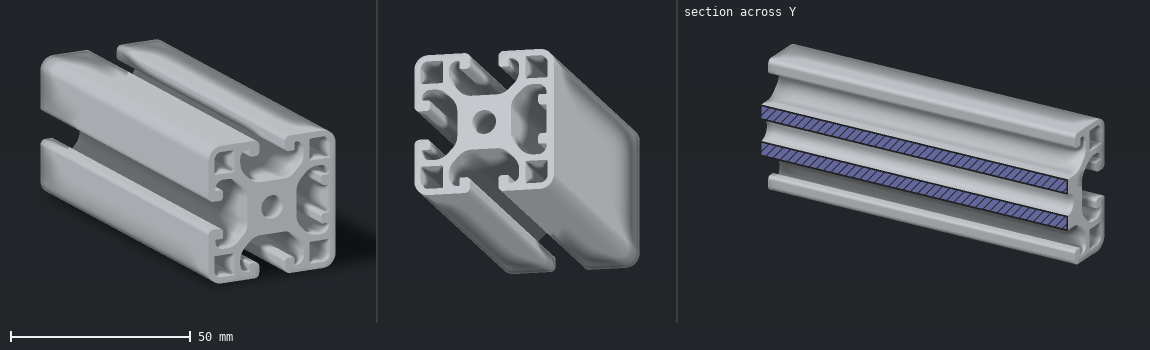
import cadquery as cq
import math

length = 100.0
side = 40.0
corner_radius = 4.0
bore_diameter = 6.8
small_radius = 0.4

chamber_wall = 1.8
chamber_size = 6.4
chamber_outer_radius = corner_radius - chamber_wall

mouth_width = 8.1
slot_width = 20.1
lip_width = 3.0
lip_depth = 4.5
hook_depth = 2.1
slot_depth = 12.3
hook_radius = 2.5
floor_radius = 5.0
lip_outer_radius = 1.5
lip_inner_radius = 1.0
web_thickness = 2.9

mouth_half_width = mouth_width / 2
slot_half_width = slot_width / 2
lip_half_width = mouth_half_width + lip_width
face = side / 2
lip_end = face - lip_depth
hook_top = face - hook_depth
slot_floor = face - slot_depth

all_slot_angles = (0, 90, 180, 270)
open_slot_angles = (0, 90, 180)


def prism(outline):
    """Extrude a closed outline of the YZ plane over the whole length."""
    return outline.extrude(length / 2, both=True)


def turned(body, angle):
    """Turn a body about the lengthwise axis; positive angles go from +Z towards -Y."""
    return body.rotate((0, 0, 0), (1, 0, 0), angle)


def with_mirror_half(half):
    """Complete a half body with its mirror image across the XZ plane."""
    return half.union(half.mirror("XZ"))


def round_edge(body, corner, radius):
    """Fillet the lengthwise edge that passes through a (y, z) corner."""
    edge = cq.selectors.NearestToPointSelector((0, *corner))
    return body.edges(edge).fillet(radius)


def slot_cutter():
    """Hollow behind the face wall of the slot that faces +Z."""
    web_offset = web_thickness / math.sqrt(2)
    floor_corner = (slot_floor - web_offset, slot_floor)
    side_corner = (slot_half_width, slot_half_width + web_offset)
    hook_outer = (slot_half_width, hook_top)
    hook_inner = (lip_half_width, hook_top)
    lip_back = (lip_half_width, lip_end)
    lip_front = (mouth_half_width, lip_end)
    wall_corner = (mouth_half_width, hook_top)
    corner_radii = {
        floor_corner: floor_radius,
        side_corner: floor_radius,
        hook_outer: hook_radius,
        hook_inner: small_radius,
        lip_back: small_radius,
        lip_front: lip_inner_radius,
        wall_corner: small_radius,
    }

    half = prism(cq.Workplane("YZ").polyline([(0, slot_floor), *corner_radii, (0, hook_top)]).close())
    for corner, radius in corner_radii.items():
        half = round_edge(half, corner, radius)
    return with_mirror_half(half)


def mouth_cutter():
    """Opening through the face wall, flared by the rounded outer lip edges."""
    bottom = hook_top - small_radius
    edge_centre = (mouth_half_width + lip_outer_radius, face - lip_outer_radius)
    opening = prism(
        cq.Workplane("YZ")
        .moveTo(0, bottom)
        .lineTo(mouth_half_width, bottom)
        .lineTo(mouth_half_width, edge_centre[1])
        .tangentArcPoint((edge_centre[0], face), relative=False)
        .lineTo(0, face)
        .close()
    )
    return with_mirror_half(opening)


def chamber_cutter():
    """Hollow chamber in the +Y +Z corner, with a large radius towards the outer corner."""
    inner = face - chamber_wall - chamber_size
    outer = face - chamber_wall
    centre = (inner + outer) / 2
    chamber = prism(cq.Workplane("YZ").center(centre, centre).rect(chamber_size, chamber_size))
    for corner in ((inner, inner), (inner, outer), (outer, inner)):
        chamber = round_edge(chamber, corner, small_radius)
    return round_edge(chamber, (outer, outer), chamber_outer_radius)


result = prism(cq.Workplane("YZ").rect(side, side)).edges("|X").fillet(corner_radius)
result = result.cut(prism(cq.Workplane("YZ").circle(bore_diameter / 2)))

slot = slot_cutter()
chamber = chamber_cutter()
for angle in all_slot_angles:
    result = result.cut(turned(slot, angle))
    result = result.cut(turned(chamber, angle))

mouth = mouth_cutter()
for angle in open_slot_angles:
    result = result.cut(turned(mouth, angle))